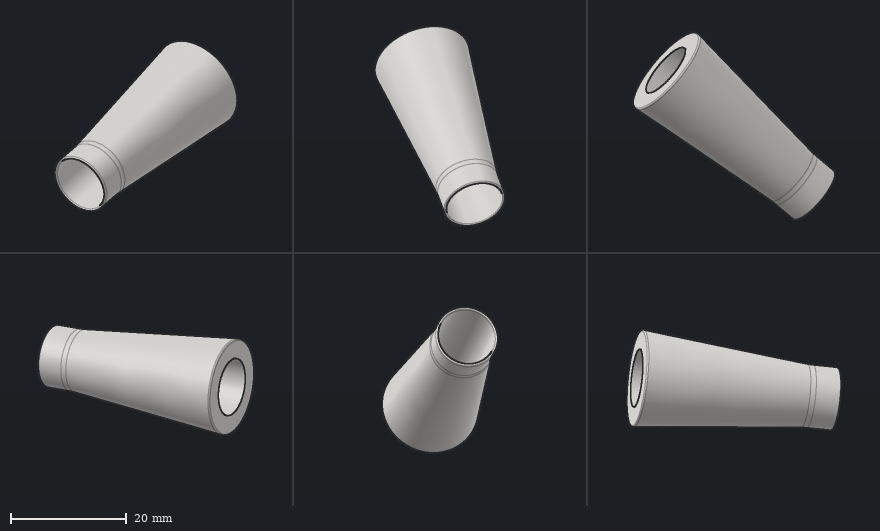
import cadquery as cq
import math

length = 35.0
bore_diameter = 10.0
neck_diameter = 11.0
neck_length = 5.0
mouth_diameter = 17.0
blend_radius = 10.0

bore_radius = bore_diameter / 2
neck_radius = neck_diameter / 2
mouth_radius = mouth_diameter / 2
lip_radius = (neck_radius - bore_radius) / 2
lip_middle = bore_radius + lip_radius
mouth_rounding = lip_radius

taper_angle = math.atan((mouth_radius - neck_radius) / (length - neck_length))
blend_reach = blend_radius * math.tan(taper_angle / 2)
blend_start_y = neck_length - blend_reach


def blend_point(turn):
    """Point on the blend arc where the outline has turned by the given angle from the neck."""
    x = neck_radius + blend_radius * (1 - math.cos(turn))
    return (x, blend_start_y + blend_radius * math.sin(turn))


def sleeve_body():
    """Half section of the sleeve, with its straight through bore, revolved about the Y axis."""
    half_section = (
        cq.Workplane("XY")
        .moveTo(bore_radius, lip_radius)
        .threePointArc((lip_middle, 0), (neck_radius, lip_radius))
        .lineTo(*blend_point(0))
        .threePointArc(blend_point(taper_angle / 2), blend_point(taper_angle))
        .lineTo(mouth_radius, length)
        .lineTo(bore_radius, length)
        .close()
    )
    return half_section.revolve(360, (0, 0, 0), (0, 1, 0))


def round_mouth(body):
    """Round the outer of the two circles bounding the flat mouth face."""
    outer_circle = cq.selectors.RadiusNthSelector(-1)
    return body.faces(">Y").edges(outer_circle).fillet(mouth_rounding)


result = round_mouth(sleeve_body())